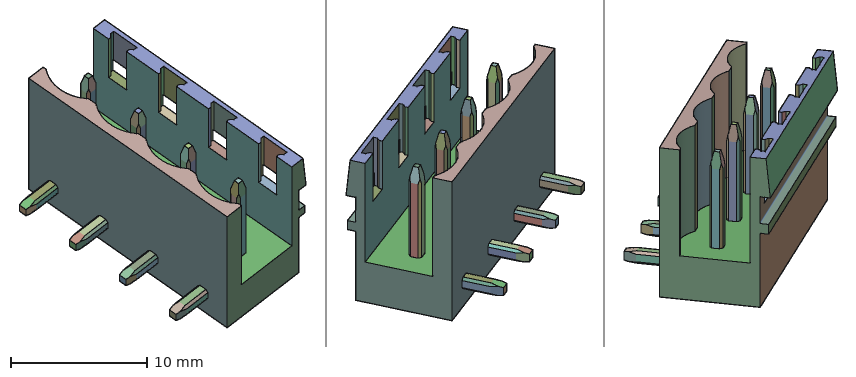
import cadquery as cq

length = 20.12
height = 12.0
floor_top = 3.48
front_wall = 1.55
cavity_back = 6.88
body_depth = 7.65

latch_top_y = 8.09
latch_bottom_y = 8.41
latch_bottom_z = 8.87
rib_y = 8.29
rib_bottom_z = 5.95
rib_top_z = 6.75
rib_root_radius = 0.08

contact_count = 4
pitch = 5.07
contact_xs = [(i - (contact_count - 1) / 2) * pitch for i in range(contact_count)]
pin_width = 1.0
pin_chamfer = 0.2
mating_pin_y = 3.78
mating_shoulder_z = 9.84
mating_tip_z = 11.13
mating_tip_width = 0.42
solder_pin_z = 2.05
solder_shoulder = 2.25
solder_tip = 3.22
solder_tip_width = 0.66

scallop_chord = 4.3
scallop_depth = 0.76

slot_neck_width = 1.81
slot_wide_width = 2.33
slot_neck_depth = 0.26
slot_flare_depth = 0.5
slot_depth = 0.82
slot_height = 4.15


def make_housing():
    """U-shaped housing profile with latch lip and guide rib, drawn in YZ and run along X."""
    profile = (
        cq.Workplane("YZ", origin=(-length / 2, 0, 0))
        .polyline([
            (0, 0),
            (body_depth, 0),
            (body_depth, rib_bottom_z),
            (rib_y, rib_bottom_z),
            (rib_y, rib_top_z),
            (body_depth, rib_top_z),
            (body_depth, latch_bottom_z),
            (latch_bottom_y, latch_bottom_z),
            (latch_top_y, height),
            (cavity_back, height),
            (cavity_back, floor_top),
            (front_wall, floor_top),
            (front_wall, height),
            (0, height),
        ])
        .close()
    )
    margin = rib_root_radius / 2
    rib_roots = cq.selectors.BoxSelector(
        (-length, body_depth - margin, rib_bottom_z - margin),
        (length, body_depth + margin, rib_top_z + margin),
    )
    return profile.extrude(length).edges(rib_roots).fillet(rib_root_radius)


def scallop(x):
    """Shallow arc segment cut from the front wall down to the cavity floor."""
    return (
        cq.Workplane("XY", origin=(x, front_wall, floor_top))
        .moveTo(-scallop_chord / 2, 0)
        .threePointArc((0, -scallop_depth), (scallop_chord / 2, 0))
        .close()
        .extrude(height - floor_top)
    )


def coding_slot(x):
    """Dovetail slot, open at the top, that breaks through the wall below the latch lip."""
    half_outline = [
        (slot_neck_width / 2, 0),
        (slot_neck_width / 2, slot_neck_depth),
        (slot_wide_width / 2, slot_flare_depth),
        (slot_wide_width / 2, slot_depth),
    ]
    mirrored_half = [(-px, py) for px, py in reversed(half_outline)]
    return (
        cq.Workplane("XY", origin=(x, cavity_back, height - slot_height))
        .polyline(half_outline + mirrored_half)
        .close()
        .extrude(slot_height)
    )


def pin(shoulder, tip, tip_width):
    """Square pin along +Z from the origin, with chamfered edges and a pyramidal tip."""
    bar = cq.Workplane("XY").rect(pin_width, pin_width).extrude(tip).edges("|Z").chamfer(pin_chamfer)
    shank = cq.Workplane("XY").rect(pin_width, pin_width).extrude(shoulder)
    point = (
        shank.faces(">Z")
        .workplane()
        .rect(pin_width, pin_width)
        .workplane(offset=tip - shoulder)
        .rect(tip_width, tip_width)
        .loft(combine=True)
    )
    return bar.intersect(point)


def contact(x):
    """Upright mating pin and forward solder pin, both rooted inside the housing floor."""
    mating_pin = pin(
        mating_shoulder_z - solder_pin_z, mating_tip_z - solder_pin_z, mating_tip_width
    ).translate((x, mating_pin_y, solder_pin_z))
    solder_pin = (
        pin(mating_pin_y + solder_shoulder, mating_pin_y + solder_tip, solder_tip_width)
        .rotate((0, 0, 0), (1, 0, 0), 90)
        .translate((x, mating_pin_y, solder_pin_z))
    )
    return mating_pin.union(solder_pin)


result = make_housing()
for contact_x in contact_xs:
    result = result.cut(scallop(contact_x)).cut(coding_slot(contact_x)).union(contact(contact_x))